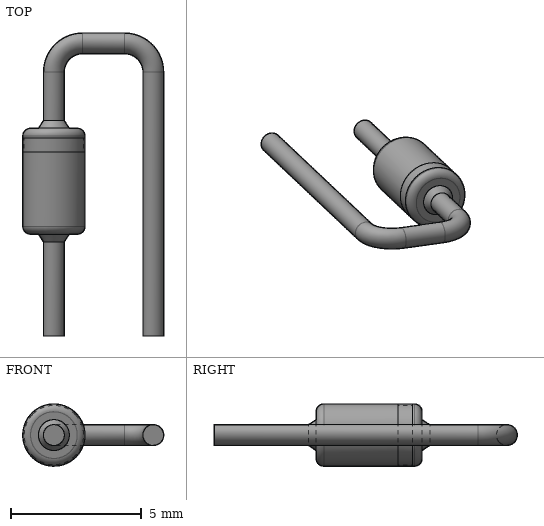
import cadquery as cq

total_length = 11.58

lead_diameter = 0.8
lead_radius = lead_diameter / 2
lead_spacing = 3.8
bend_radius = 1.1
bend_center_y = total_length - lead_radius - bend_radius

collar_length = 0.29
collar_base_radius = 0.59

housing_diameter = 2.39
housing_radius = housing_diameter / 2
housing_length = 4.05
housing_front_y = 3.89
housing_back_y = housing_front_y + housing_length
housing_edge_radius = 0.3

band_width = 0.55
band_thickness = 0.06
band_back_offset = 0.37
band_back_y = housing_back_y - band_back_offset
band_front_y = band_back_y - band_width


def cylinder_along_y(radius, start_y, end_y):
    """Solid cylinder on the housing axis between two Y positions."""
    start_plane = cq.Workplane("XZ", origin=(0, start_y, 0))
    return start_plane.circle(radius).extrude(start_y - end_y)


def make_band():
    outer = cylinder_along_y(housing_radius, band_front_y, band_back_y)
    bore = cylinder_along_y(housing_radius - band_thickness, band_front_y, band_back_y)
    return outer.cut(bore)


def make_housing(band):
    """Rounded cylinder with a shallow groove that holds the band."""
    body = cylinder_along_y(housing_radius, housing_front_y, housing_back_y)
    return body.edges("%CIRCLE").fillet(housing_edge_radius).cut(band)


def make_collar(base_y, direction):
    """Cone narrowing to the lead; direction is the sign of Y away from the housing."""
    tip_y = base_y + direction * collar_length
    return (
        cq.Workplane("XY")
        .moveTo(0, base_y)
        .lineTo(collar_base_radius, base_y)
        .lineTo(lead_radius, tip_y)
        .lineTo(0, tip_y)
        .close()
        .revolve(360, (0, 0, 0), (0, 1, 0))
    )


def make_straight_lead():
    wire = cylinder_along_y(lead_radius, 0, housing_front_y)
    return wire.union(make_collar(housing_front_y, -1))


def make_bent_lead():
    """Lead that leaves the back of the housing and turns back beside it."""
    path = (
        cq.Workplane("XY")
        .moveTo(0, housing_back_y)
        .lineTo(0, bend_center_y)
        .radiusArc((bend_radius, bend_center_y + bend_radius), bend_radius)
        .lineTo(lead_spacing - bend_radius, bend_center_y + bend_radius)
        .radiusArc((lead_spacing, bend_center_y), bend_radius)
        .lineTo(lead_spacing, 0)
    )
    wire = cq.Workplane("XZ", origin=(0, housing_back_y, 0)).circle(lead_radius).sweep(path)
    return wire.union(make_collar(housing_back_y, 1))


band = make_band()
housing = make_housing(band)
straight_lead = make_straight_lead()
bent_lead = make_bent_lead()

result = cq.Compound.makeCompound([
    housing.val(),
    band.val(),
    straight_lead.val(),
    bent_lead.val(),
])